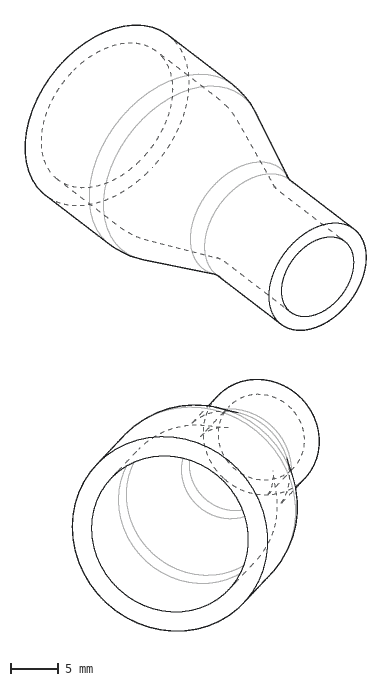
import cadquery as cq
import math

total_length = 38.1
large_outer_diameter = 21.35
large_bore_diameter = 17.1
small_outer_diameter = 12.7
small_bore_diameter = 9.4
straight_length = 11.62
bend_length = 2.1
bore_shift = 0.42
angle_iterations = 40


def reducer_solid(large_diameter, small_diameter, bend_start, bend_end):
    """Solid of revolution: two cylinders joined by a cone with tangent bends."""
    large_radius = large_diameter / 2
    small_radius = small_diameter / 2

    cone_start = bend_start + bend_length
    cone_end = bend_end - bend_length
    radius_drop = large_radius - small_radius
    cone_length = cone_end - cone_start
    angle = 0
    for _ in range(angle_iterations):
        bend_drop = bend_length * math.tan(angle / 2)
        angle = math.atan((radius_drop - 2 * bend_drop) / cone_length)

    bend_drop = bend_length * math.tan(angle / 2)
    bend_radius = bend_length / math.sin(angle)
    mid_offset = bend_radius * math.sin(angle / 2)
    mid_drop = bend_radius * (1 - math.cos(angle / 2))

    return (
        cq.Workplane("XY")
        .moveTo(0, 0)
        .lineTo(0, large_radius)
        .lineTo(bend_start, large_radius)
        .threePointArc(
            (bend_start + mid_offset, large_radius - mid_drop),
            (cone_start, large_radius - bend_drop),
        )
        .lineTo(cone_end, small_radius + bend_drop)
        .threePointArc(
            (bend_end - mid_offset, small_radius + mid_drop),
            (bend_end, small_radius),
        )
        .lineTo(total_length, small_radius)
        .lineTo(total_length, 0)
        .close()
        .revolve(360, (0, 0, 0), (1, 0, 0))
    )


outer_bend_start = straight_length
outer_bend_end = total_length - straight_length
body = reducer_solid(
    large_outer_diameter,
    small_outer_diameter,
    outer_bend_start,
    outer_bend_end,
)
bore = reducer_solid(
    large_bore_diameter,
    small_bore_diameter,
    outer_bend_start - bore_shift,
    outer_bend_end - bore_shift,
)
result = body.cut(bore)